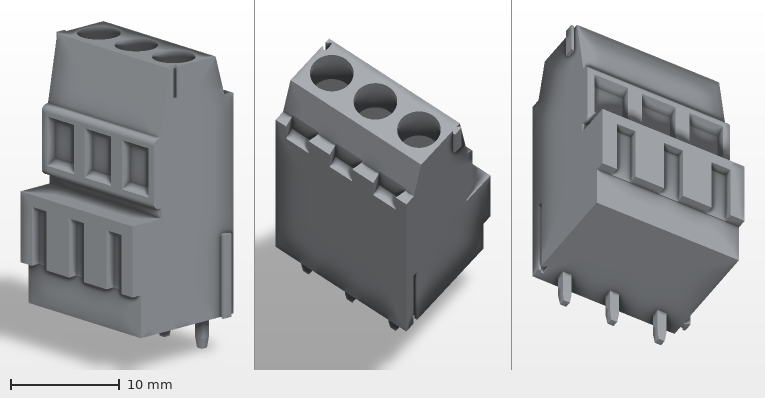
import cadquery as cq
import math


POLE_PITCH = 5.08
POLE_COUNT = 3
POLE_XS = [(i - (POLE_COUNT - 1) / 2) * POLE_PITCH for i in range(POLE_COUNT)]

HOUSING_WIDTH = POLE_COUNT * POLE_PITCH
HOUSING_DEPTH = 12.63
HOUSING_HEIGHT = 25.2
FOOT_SETBACK = 1.03
FOOT_HEIGHT = 4.13
LEDGE_HEIGHT = 10.95
NECK_Y = 3.62
BAND_Y = 2.67
BAND_BOTTOM = 12.0
BAND_EDGE_RADIUS = 0.57
SLOPE_FOOT_Y = 3.45
SLOPE_FOOT_Z = 18.77
SLOPE_TOP_Y = 4.6
BAND_TOP_TILT = 10.0
BACK_TOP_Y = 10.4
BACK_STEP_Y = 11.5
BACK_STEP_HEIGHT = 21.25

WINDOW_WIDTH = 3.62
WINDOW_BOTTOM = 13.03
WINDOW_TOP = 17.77
WINDOW_DEPTH = 1.0
WINDOW_TAPER = 0.5

SLOT_WIDTH = 2.0
SLOT_TOP = 9.82
SLOT_DEPTH = 0.92

SCREW_HOLE_DIAMETER = 4.02
SCREW_HOLE_Y = 7.45
SCREW_HOLE_DEPTH = SCREW_HOLE_DIAMETER

NOTCH_MOUTH_WIDTH = 2.6
NOTCH_FLOOR_WIDTH = 3.13
NOTCH_DEPTH = 1.2
NOTCH_HEIGHT = 2.0

KEY_HEAD_WIDTH = 0.98
KEY_HEAD_THICKNESS = 0.25
KEY_NECK_WIDTH = 0.55
KEY_TAPER = 0.15
TOP_KEY_Y = 5.37
TOP_KEY_LENGTH = 3.05
TOP_KEY_REACH = 0.43
TOP_KEYWAY_DEPTH = 0.57
BOTTOM_KEY_Y = 11.28
BOTTOM_KEY_LENGTH = 8.05
BOTTOM_KEY_REACH = 0.63
BOTTOM_KEYWAY_DEPTH = 0.7

PIN_WIDTH = 0.95
PIN_THICKNESS = 0.83
PIN_Y = 11.02
PIN_LENGTH = 3.5
PIN_TIP_LENGTH = 1.0
PIN_TIP_SIZE = 0.65


def make_housing_body():
    """Side profile extruded across all poles, with both band edges rounded."""
    band_top = SLOPE_FOOT_Z - (SLOPE_FOOT_Y - BAND_Y) * math.tan(math.radians(BAND_TOP_TILT))
    profile = [
        (HOUSING_DEPTH, 0),
        (FOOT_SETBACK, 0),
        (FOOT_SETBACK, FOOT_HEIGHT),
        (0, FOOT_HEIGHT),
        (0, LEDGE_HEIGHT),
        (NECK_Y, LEDGE_HEIGHT),
        (NECK_Y, BAND_BOTTOM),
        (BAND_Y, BAND_BOTTOM),
        (BAND_Y, band_top),
        (SLOPE_FOOT_Y, SLOPE_FOOT_Z),
        (SLOPE_TOP_Y, HOUSING_HEIGHT),
        (BACK_TOP_Y, HOUSING_HEIGHT),
        (BACK_STEP_Y, BACK_STEP_HEIGHT),
        (HOUSING_DEPTH, BACK_STEP_HEIGHT),
    ]
    body = cq.Workplane("YZ").polyline(profile).close().extrude(HOUSING_WIDTH / 2, both=True)
    for edge_z in (BAND_BOTTOM, band_top):
        edge = cq.selectors.NearestToPointSelector((0, BAND_Y, edge_z))
        body = body.edges(edge).fillet(BAND_EDGE_RADIUS)
    return body


def make_window(x):
    """Wire window whose top and bottom walls converge towards its floor."""
    floor_y = BAND_Y + WINDOW_DEPTH
    outline = [
        (BAND_Y, WINDOW_BOTTOM),
        (BAND_Y, WINDOW_TOP),
        (floor_y, WINDOW_TOP - WINDOW_TAPER),
        (floor_y, WINDOW_BOTTOM + WINDOW_TAPER),
    ]
    window = cq.Workplane("YZ").polyline(outline).close().extrude(WINDOW_WIDTH / 2, both=True)
    return window.translate((x, 0, 0))


def make_front_slot(x):
    """Slot in the front block, open at the block's underside."""
    slot = cq.Workplane("XY").box(
        SLOT_WIDTH, SLOT_DEPTH, SLOT_TOP - FOOT_HEIGHT, centered=(True, False, False)
    )
    return slot.translate((x, 0, FOOT_HEIGHT))


def make_screw_hole(x):
    """Blind round hole sunk from the top face."""
    hole = cq.Workplane("XY").circle(SCREW_HOLE_DIAMETER / 2).extrude(SCREW_HOLE_DEPTH)
    return hole.translate((x, SCREW_HOLE_Y, HOUSING_HEIGHT - SCREW_HOLE_DEPTH))


def make_back_notch(x):
    """Blind dovetail notch in the back step, also clipping the foot of the back slope."""
    floor_y = HOUSING_DEPTH - NOTCH_DEPTH
    outline = [
        (-NOTCH_MOUTH_WIDTH / 2, HOUSING_DEPTH),
        (NOTCH_MOUTH_WIDTH / 2, HOUSING_DEPTH),
        (NOTCH_FLOOR_WIDTH / 2, floor_y),
        (-NOTCH_FLOOR_WIDTH / 2, floor_y),
    ]
    notch_z = BACK_STEP_HEIGHT - NOTCH_HEIGHT
    notch = cq.Workplane("XY").polyline(outline).close().extrude(HOUSING_HEIGHT - notch_z)
    return notch.translate((x, 0, notch_z))


def make_key(length, reach):
    """Upright key with a tapered head; its neck starts at X = 0, its head ends at X = reach."""
    shoulder_x = reach - KEY_HEAD_THICKNESS
    neck_x = shoulder_x - KEY_TAPER
    outline = [
        (0, -KEY_NECK_WIDTH / 2),
        (neck_x, -KEY_NECK_WIDTH / 2),
        (shoulder_x, -KEY_HEAD_WIDTH / 2),
        (reach, -KEY_HEAD_WIDTH / 2),
        (reach, KEY_HEAD_WIDTH / 2),
        (shoulder_x, KEY_HEAD_WIDTH / 2),
        (neck_x, KEY_NECK_WIDTH / 2),
        (0, KEY_NECK_WIDTH / 2),
    ]
    return cq.Workplane("XY").polyline(outline).close().extrude(length)


def make_housing():
    """Housing with its openings, keys and keyways."""
    housing = make_housing_body()
    for x in POLE_XS:
        for make_opening in (make_window, make_front_slot, make_screw_hole, make_back_notch):
            housing = housing.cut(make_opening(x))

    side_x = HOUSING_WIDTH / 2
    top_key_z = HOUSING_HEIGHT - TOP_KEY_LENGTH

    top_key = make_key(TOP_KEY_LENGTH, TOP_KEY_REACH).mirror("YZ")
    top_keyway = make_key(TOP_KEY_LENGTH, TOP_KEYWAY_DEPTH).mirror("YZ")
    housing = housing.union(top_key.translate((-side_x, TOP_KEY_Y, top_key_z)))
    housing = housing.cut(top_keyway.translate((side_x, TOP_KEY_Y, top_key_z)))

    bottom_key = make_key(BOTTOM_KEY_LENGTH, BOTTOM_KEY_REACH)
    bottom_keyway = make_key(BOTTOM_KEY_LENGTH, BOTTOM_KEYWAY_DEPTH)
    housing = housing.union(bottom_key.translate((side_x, BOTTOM_KEY_Y, 0)))
    housing = housing.cut(bottom_keyway.translate((-side_x, BOTTOM_KEY_Y, 0)))
    return housing


def make_pin(x):
    """Rectangular solder pin under the housing, tapering to a smaller square tip."""
    shank_length = PIN_LENGTH - PIN_TIP_LENGTH
    shank = cq.Workplane("XY").rect(PIN_WIDTH, PIN_THICKNESS).extrude(-shank_length)
    tip = (
        cq.Workplane("XY", origin=(0, 0, -shank_length))
        .rect(PIN_WIDTH, PIN_THICKNESS)
        .workplane(offset=-PIN_TIP_LENGTH)
        .rect(PIN_TIP_SIZE, PIN_TIP_SIZE)
        .loft(ruled=True)
    )
    return shank.union(tip).translate((x, PIN_Y, 0))


housing = make_housing()
pins = [make_pin(x) for x in POLE_XS]

result = cq.Compound.makeCompound([housing.val(), *[pin.val() for pin in pins]])